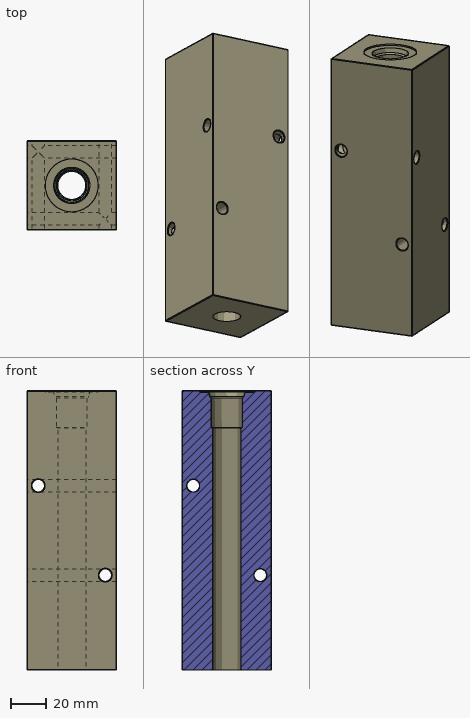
import cadquery as cq
import math

side = 50.8
height = 158.75
edge_chamfer = 0.4
half_side = side / 2
top_z = height / 2

spotface_diameter = 30.0
spotface_depth = 0.8
seat_diameter = 20.6
seat_depth = 2.54
seat_half_angle = 15
thread_diameter = 17.5
thread_depth = 20.0
drill_point_half_angle = 59
bore_diameter = 15.9

mount_diameter = 7.1
mount_offset = 19.05
mount_rise = 25.4


def make_block():
    return cq.Workplane("XY").box(side, side, height).edges().chamfer(edge_chamfer)


def make_port():
    """Stepped port: spotface, conical seal seat, 45 degree lead-in, threaded length and through bore."""
    spotface_radius = spotface_diameter / 2
    seat_radius = seat_diameter / 2
    seat_small_radius = seat_radius - seat_depth * math.tan(math.radians(seat_half_angle))
    thread_radius = thread_diameter / 2
    bore_radius = bore_diameter / 2
    spotface_z = top_z - spotface_depth
    seat_z = spotface_z - seat_depth
    lead_in_z = seat_z - (seat_small_radius - thread_radius)
    thread_z = spotface_z - thread_depth
    drill_point_z = thread_z - (thread_radius - bore_radius) / math.tan(math.radians(drill_point_half_angle))
    profile = (
        cq.Workplane("XZ")
        .moveTo(0, top_z)
        .lineTo(spotface_radius, top_z)
        .lineTo(spotface_radius, spotface_z)
        .lineTo(seat_radius, spotface_z)
        .lineTo(seat_small_radius, seat_z)
        .lineTo(thread_radius, lead_in_z)
        .lineTo(thread_radius, thread_z)
        .lineTo(bore_radius, drill_point_z)
        .lineTo(bore_radius, -top_z)
        .lineTo(0, -top_z)
        .close()
    )
    return profile.revolve(360, (0, 0, 0), (0, 1, 0))


def make_mount_hole():
    """Cylinder through the block along Z, centred on the origin and flared at both ends."""
    mount_radius = mount_diameter / 2
    mouth_radius = mount_radius + edge_chamfer
    flare_z = half_side - edge_chamfer
    profile = (
        cq.Workplane("XZ")
        .moveTo(0, -half_side)
        .lineTo(mouth_radius, -half_side)
        .lineTo(mount_radius, -flare_z)
        .lineTo(mount_radius, flare_z)
        .lineTo(mouth_radius, half_side)
        .lineTo(0, half_side)
        .close()
    )
    return profile.revolve(360, (0, 0, 0), (0, 1, 0))


def cut_mount_holes(body):
    """Drill both levels; the X and Y holes of a level cross near one vertical edge."""
    origin = (0, 0, 0)
    along_y = make_mount_hole().rotate(origin, (1, 0, 0), 90)
    along_x = make_mount_hole().rotate(origin, (0, 1, 0), 90)
    for sign in (1, -1):
        body = body.cut(along_y.translate((-sign * mount_offset, 0, sign * mount_rise)))
        body = body.cut(along_x.translate((0, sign * mount_offset, sign * mount_rise)))
    return body


result = cut_mount_holes(make_block().cut(make_port()))